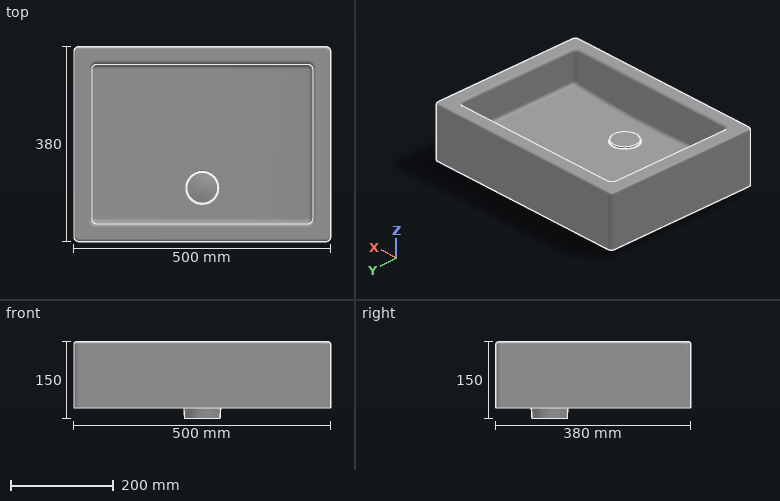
import cadquery as cq
import math

basin_length = 500.0
basin_width = 380.0
basin_height = 129.5
outer_corner_radius = 10.0
rim_outer_radius = 5.5
base_edge_radius = 2.0

wall_thickness = 35.0
bowl_corner_radius = 9.5
rim_inner_radius = 7.5
floor_edge_radius = 9.5
bowl_edge_depth = 80.0
floor_sag = 10.0

overall_height = 150.0
drain_y = -85.0
pipe_top_diameter = 72.0
pipe_bottom_diameter = 69.5
drain_hole_diameter = 64.0
drain_hole_edge_radius = 2.0
plug_diameter = 60.0
plug_thickness = 10.0
plug_rise = 2.5
dome_height = 4.0

bowl_length = basin_length - 2 * wall_thickness
bowl_width = basin_width - 2 * wall_thickness
floor_z = -(bowl_edge_depth + floor_sag)
collar_top_z = floor_z - drain_hole_edge_radius
plug_edge_z = floor_z + plug_rise


def make_bowl_cutter():
    """Bowl cavity whose floor is an arc along X, lowest in the middle."""
    half_length = bowl_length / 2
    cavity = (
        cq.Workplane("XZ", origin=(0, bowl_width / 2, 0))
        .moveTo(-half_length, 0)
        .lineTo(-half_length, -bowl_edge_depth)
        .threePointArc((0, floor_z), (half_length, -bowl_edge_depth))
        .lineTo(half_length, 0)
        .close()
        .extrude(bowl_width)
    )
    cavity = cavity.edges("|Z").fillet(bowl_corner_radius)
    return cavity.faces("<Z").edges().fillet(floor_edge_radius)


def make_drain_pipe_blank():
    """Solid drain: collar filling the hole in the basin floor, tapered pipe below it."""
    collar_radius = drain_hole_diameter / 2
    return (
        cq.Workplane("XZ", origin=(0, drain_y, 0))
        .moveTo(0, collar_top_z)
        .lineTo(collar_radius, collar_top_z)
        .lineTo(collar_radius, -basin_height)
        .lineTo(pipe_top_diameter / 2, -basin_height)
        .lineTo(pipe_bottom_diameter / 2, -overall_height)
        .lineTo(0, -overall_height)
        .close()
        .revolve(360, (0, 0, 0), (0, 1, 0))
    )


def make_plug():
    """Round plug with a domed top, its edge slightly proud of the bowl floor."""
    plug_radius = plug_diameter / 2
    dome_radius = (plug_radius**2 + dome_height**2) / (2 * dome_height)
    half_angle = math.asin(plug_radius / dome_radius) / 2
    dome_mid_x = dome_radius * math.sin(half_angle)
    dome_mid_z = plug_edge_z + dome_height - dome_radius * (1 - math.cos(half_angle))
    return (
        cq.Workplane("XZ", origin=(0, drain_y, 0))
        .moveTo(0, plug_edge_z - plug_thickness)
        .lineTo(plug_radius, plug_edge_z - plug_thickness)
        .lineTo(plug_radius, plug_edge_z)
        .threePointArc((dome_mid_x, dome_mid_z), (0, plug_edge_z + dome_height))
        .close()
        .revolve(360, (0, 0, 0), (0, 1, 0))
    )


def make_basin():
    """Rounded block with the bowl cut into its top and a round-edged drain hole in its floor."""
    block = (
        cq.Workplane("XY", origin=(0, 0, -basin_height))
        .box(basin_length, basin_width, basin_height, centered=(True, True, False))
        .edges("|Z").fillet(outer_corner_radius)
        .faces(">Z").edges().fillet(rim_outer_radius)
        .faces("<Z").edges().fillet(base_edge_radius)
    )
    basin = block.cut(make_bowl_cutter())
    bowl_mouth = basin.faces(">Z").val().innerWires()[0]
    basin = basin.newObject(bowl_mouth.Edges()).fillet(rim_inner_radius)
    hole = (
        cq.Workplane("XY", origin=(0, drain_y, -basin_height))
        .circle(drain_hole_diameter / 2)
        .extrude(basin_height)
    )
    basin = basin.cut(hole)
    half_region = drain_hole_diameter / 2
    hole_top_edge = cq.selectors.BoxSelector(
        (-half_region, drain_y - half_region, floor_z - floor_sag),
        (half_region, drain_y + half_region, floor_z + floor_sag),
    )
    return basin.edges(hole_top_edge).fillet(drain_hole_edge_radius)


plug = make_plug()
drain_pipe = make_drain_pipe_blank().cut(plug)
basin = make_basin()
result = cq.Compound.makeCompound([basin.val(), drain_pipe.val(), plug.val()])